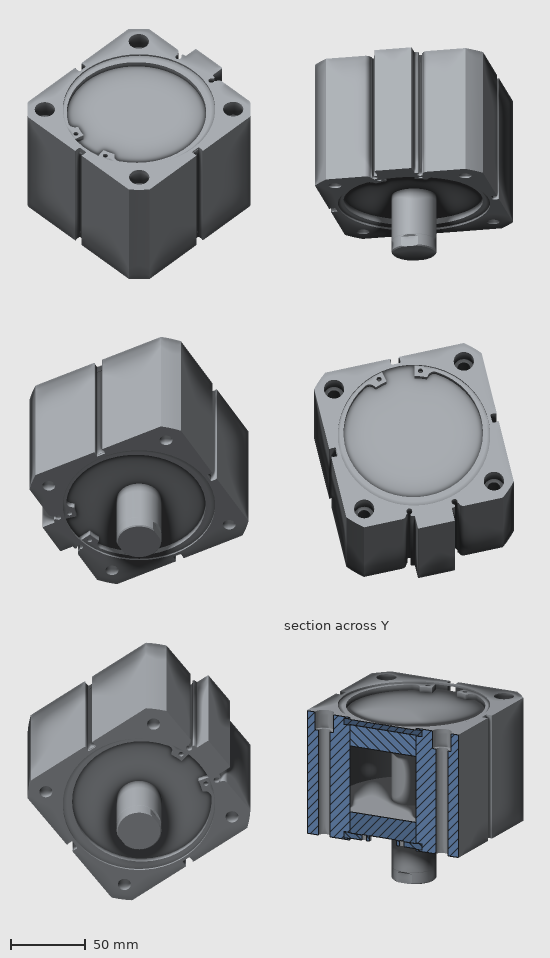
import cadquery as cq
import math


side = 115.0
housing_height = 86.3
corner_radius = 74.6
bore_radius = 51.0

rib_half_width = 12.6
total_depth = 124
rib_end_y = total_depth - side / 2
rib_edge_chamfer = 0.4
sensor_groove_x = 15.5
sensor_groove_y = 53.0
sensor_groove_radius = 2.0
lip_neck = (14.3, 54.7)
lip_start = (15.0, 55.2)
lip_nose = (15.3, 56.2)
lip_end = (14.5, 56.8)
lip_base_y = 57.2
flare_neck = (17.4, 54.2)
flare_start = (18.0, 54.7)
flare_middle = (18.8, 56.4)
flare_end_x = 21.3

slot_depth = 4.5
slot_floor_chamfer = 0.5
slot_width = 6.5
slot_mouth = 5.5
slot_lip = 0.7
slot_mouth_chamfer = 0.4

hole_offset = 44.5
hole_diameter = 8.7
counterbore_diameter = 13.5
counterbore_depth = 12.4

ring_inset = 1.4
ring_thickness = 4.0
ring_outer_radius = 53.3
ring_inner_radius = 46.6
ring_inner_offset = 2.4
lug_inner_radius = 43.4
lug_end_angle = 12.7
lug_tip_angle = 23.8
lug_hole_x = 14.1
lug_hole_y = -45.1
lug_hole_diameter = 3.3
neck_end_x = 24.9
neck_middle = (21.8, -42.8)
neck_start = (18.8, -41.4)
upper_ring_turn = -0.9
lower_ring_turn = 180

cover_height = 14.9
cover_inset = ring_inset + ring_thickness

rod_radius = 15.0
rod_reach = 35.2
tip_length = 8.5
tip_step = 0.06
tip_radius = rod_radius - tip_step
tip_taper = 0.4
flat_width = 27.5
flat_length = 7.1
rod_chamfer = 0.7


def polar(radius, degrees_from_front):
    """Point at a radius and an angle measured from -Y towards +X."""
    angle = math.radians(degrees_from_front)
    return (radius * math.sin(angle), -radius * math.cos(angle))


def full_height_bar(width, depth, start_y):
    """Full-height bar centred on X = 0 that runs from start_y towards +Y."""
    return (
        cq.Workplane("XY")
        .rect(width, depth)
        .extrude(housing_height)
        .translate((0, start_y + depth / 2, 0))
    )


def t_slot():
    """Slot in the -Y side with a narrow chamfered mouth and chamfered floor corners."""
    mouth = full_height_bar(slot_mouth, slot_depth, -side / 2)
    flare = (
        cq.Workplane("XY")
        .polyline([
            (-slot_mouth / 2 - slot_mouth_chamfer, -side / 2),
            (slot_mouth / 2 + slot_mouth_chamfer, -side / 2),
            (slot_mouth / 2, slot_mouth_chamfer - side / 2),
            (-slot_mouth / 2, slot_mouth_chamfer - side / 2),
        ])
        .close()
        .extrude(housing_height)
    )
    inside = full_height_bar(slot_width, slot_depth - slot_lip, slot_lip - side / 2)
    inside = inside.edges("|Z and >Y").chamfer(slot_floor_chamfer)
    return mouth.union(flare).union(inside)


def sensor_groove():
    """Groove on the +X side of the rib: a round bottom and a mouth that flares outwards."""
    edge_y = side / 2
    mouth = (
        cq.Workplane("XY")
        .moveTo(sensor_groove_x, sensor_groove_y)
        .lineTo(*lip_neck)
        .lineTo(*lip_start)
        .threePointArc(lip_nose, lip_end)
        .lineTo(rib_half_width, lip_base_y)
        .lineTo(rib_half_width, edge_y)
        .lineTo(flare_end_x, edge_y)
        .threePointArc(flare_middle, flare_start)
        .lineTo(*flare_neck)
        .close()
        .extrude(housing_height)
    )
    round_bottom = (
        cq.Workplane("XY")
        .center(sensor_groove_x, sensor_groove_y)
        .circle(sensor_groove_radius)
        .extrude(housing_height)
    )
    return mouth.union(round_bottom)


def make_housing():
    block = cq.Workplane("XY").rect(side, side).extrude(housing_height)
    turned = cq.Workplane("XY").circle(corner_radius).extrude(housing_height)
    rib = full_height_bar(2 * rib_half_width, rib_end_y - bore_radius, bore_radius)
    rib = rib.edges("|Z and >Y").chamfer(rib_edge_chamfer)
    body = block.intersect(turned).union(rib)

    bore = cq.Workplane("XY").circle(bore_radius).extrude(housing_height)
    body = body.cut(bore)
    for base in (ring_inset, housing_height - cover_inset):
        seat = cq.Workplane("XY", origin=(0, 0, base)).circle(ring_outer_radius).extrude(ring_thickness)
        body = body.cut(seat)

    for turn in (-90, 0, 90):
        body = body.cut(t_slot().rotate((0, 0, 0), (0, 0, 1), turn))

    groove = sensor_groove()
    body = body.cut(groove).cut(groove.mirror("YZ"))

    return (
        body.faces(">Z")
        .workplane(origin=(0, 0, housing_height))
        .rect(2 * hole_offset, 2 * hole_offset, forConstruction=True)
        .vertices()
        .cboreHole(hole_diameter, counterbore_diameter, counterbore_depth)
    )


def make_retaining_ring(base, turn):
    """Open ring with a drilled lug on each side of the gap, which faces -Y at zero turn."""
    neck_end_y = -ring_inner_offset - math.sqrt(ring_inner_radius**2 - neck_end_x**2)
    middle_angle = (lug_end_angle + lug_tip_angle) / 2

    def left(point):
        return (-point[0], point[1])

    profile = (
        cq.Workplane("XY")
        .moveTo(*polar(ring_outer_radius, lug_end_angle))
        .threePointArc((0, ring_outer_radius), polar(ring_outer_radius, -lug_end_angle))
        .lineTo(*polar(lug_inner_radius, -lug_end_angle))
        .threePointArc(polar(lug_inner_radius, -middle_angle), polar(lug_inner_radius, -lug_tip_angle))
        .lineTo(*left(neck_start))
        .threePointArc(left(neck_middle), (-neck_end_x, neck_end_y))
        .threePointArc((0, ring_inner_radius - ring_inner_offset), (neck_end_x, neck_end_y))
        .threePointArc(neck_middle, neck_start)
        .lineTo(*polar(lug_inner_radius, lug_tip_angle))
        .threePointArc(polar(lug_inner_radius, middle_angle), polar(lug_inner_radius, lug_end_angle))
        .close()
    )
    lug_holes = (
        cq.Workplane("XY")
        .pushPoints([(-lug_hole_x, lug_hole_y), (lug_hole_x, lug_hole_y)])
        .circle(lug_hole_diameter / 2)
        .extrude(ring_thickness)
    )
    ring = profile.extrude(ring_thickness).cut(lug_holes)
    return ring.rotate((0, 0, 0), (0, 0, 1), turn).translate((0, 0, base))


def make_head_cover():
    base = housing_height - cover_inset - cover_height
    return cq.Workplane("XY", origin=(0, 0, base)).circle(bore_radius).extrude(cover_height)


def make_rod_cover():
    return (
        cq.Workplane("XY", origin=(0, 0, cover_inset))
        .circle(bore_radius)
        .circle(rod_radius)
        .extrude(cover_height)
    )


def make_rod():
    """Rod from the head cover to its tip, with a slightly reduced end and two wrench flats."""
    tip_z = -rod_reach
    shoulder_z = tip_z + tip_length
    top_z = housing_height - cover_inset - cover_height
    rod = (
        cq.Workplane("XZ")
        .polyline([
            (0, tip_z),
            (tip_radius - rod_chamfer, tip_z),
            (tip_radius, tip_z + rod_chamfer),
            (tip_radius, shoulder_z - tip_taper),
            (rod_radius, shoulder_z),
            (rod_radius, top_z),
            (0, top_z),
        ])
        .close()
        .revolve()
    )

    flat_y = flat_width / 2
    flat_top_z = tip_z + flat_length
    outside_y = rod_radius + rod_chamfer
    flat_cut = (
        cq.Workplane("YZ")
        .polyline([
            (flat_y, tip_z),
            (outside_y, tip_z),
            (outside_y, flat_top_z + outside_y - flat_y),
            (flat_y, flat_top_z),
        ])
        .close()
        .extrude(rod_radius, both=True)
    )
    return rod.cut(flat_cut).cut(flat_cut.mirror("XZ"))


housing = make_housing()
lower_ring = make_retaining_ring(ring_inset, lower_ring_turn)
upper_ring = make_retaining_ring(housing_height - cover_inset, upper_ring_turn)
head_cover = make_head_cover()
rod_cover = make_rod_cover()
rod = make_rod()

result = cq.Compound.makeCompound([
    housing.val(),
    lower_ring.val(),
    upper_ring.val(),
    head_cover.val(),
    rod_cover.val(),
    rod.val(),
])